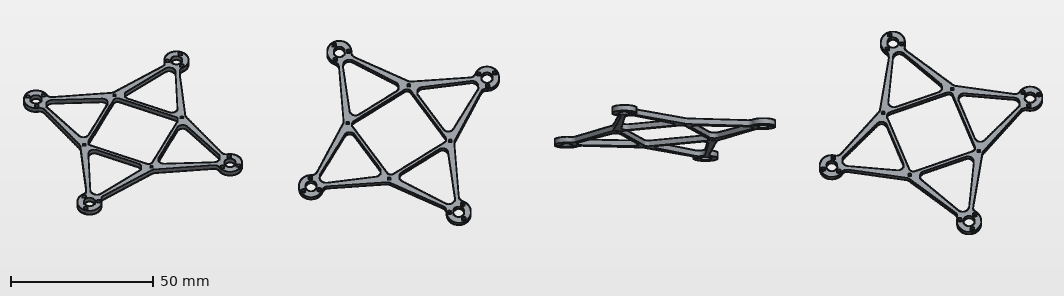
import cadquery as cq
import math

side = 61.5
thickness = 2.0

pod_radius = 4.3
pod_offset = side / 2 - pod_radius
shaft_diameter = 4.0
screw_diameter = 1.4
screw_circle_radius = 3.25
screws_per_pod = 3
pod_fillet = 2.0
joint_margin = 0.3

waist_offset = 19.8
arm_outer_angle = 15.2
waist_fillet = 2.0
opening_corner = 17.45
opening_fillet = 1.55
node_hole_offset = 18.4
node_hole_diameter = 1.0

window_base_intercept = 19.1
window_side_intercept = 16.95
window_side_slope = math.tan(math.radians(18.6))
window_base_fillet = 2.0
window_tip_fillet = 2.3

diagonal_angle = 45
quarter_turns = [0, 90, 180, 270]


def prism(points):
    """Full-thickness block with a straight-sided outline."""
    return cq.Workplane("XY").polyline(points).close().extrude(thickness)


def make_star():
    """Star outline whose points lie inside the pods."""
    tip = waist_offset / (1 - math.tan(math.radians(arm_outer_angle)))
    star = prism([
        (waist_offset, 0), (tip, tip), (0, waist_offset), (-tip, tip),
        (-waist_offset, 0), (-tip, -tip), (0, -waist_offset), (tip, -tip),
    ])
    for angle in quarter_turns:
        x = waist_offset * math.cos(math.radians(angle))
        y = waist_offset * math.sin(math.radians(angle))
        waist_edge = cq.selectors.NearestToPointSelector((x, y, thickness / 2))
        star = star.edges("|Z").edges(waist_edge).fillet(waist_fillet)
    return star


def make_opening():
    corner = opening_corner
    square = prism([(corner, 0), (0, corner), (-corner, 0), (0, -corner)])
    return square.edges("|Z").fillet(opening_fillet)


def make_window():
    """Triangle symmetric about the +X+Y diagonal, with rounded corners."""
    tip = window_side_intercept / (1 - window_side_slope)
    near = (window_base_intercept - window_side_intercept) / (1 + window_side_slope)
    far = window_base_intercept - near
    window = prism([(tip, tip), (near, far), (far, near)])
    tip_edge = cq.selectors.NearestToPointSelector((tip, tip, thickness / 2))
    base_edges = cq.selectors.SubtractSelector(cq.selectors.StringSyntaxSelector("|Z"), tip_edge)
    window = window.edges(base_edges).fillet(window_base_fillet)
    return window.edges("|Z").edges(tip_edge).fillet(window_tip_fillet)


def make_pod_holes():
    """Shaft hole and screw holes, one screw on the outer diagonal."""
    pod_plane = cq.Workplane("XY").center(pod_offset, pod_offset)
    shaft = pod_plane.circle(shaft_diameter / 2).extrude(thickness)
    screws = (
        pod_plane.polarArray(screw_circle_radius, diagonal_angle, 360, screws_per_pod)
        .circle(screw_diameter / 2)
        .extrude(thickness)
    )
    return shaft.union(screws)


def fillet_pod_joints(body):
    """Blend the arm sides into the pods, on the quarter of each pod facing the centre."""
    near = pod_offset - pod_radius
    far = pod_offset - joint_margin
    for sx in (-1, 1):
        for sy in (-1, 1):
            inner_quarter = cq.selectors.BoxSelector(
                (sx * near, sy * near, 0), (sx * far, sy * far, thickness)
            )
            body = body.edges("|Z").edges(inner_quarter).fillet(pod_fillet)
    return body


pods = (
    cq.Workplane("XY")
    .rect(2 * pod_offset, 2 * pod_offset, forConstruction=True)
    .vertices()
    .circle(pod_radius)
    .extrude(thickness)
)
frame = fillet_pod_joints(make_star().union(pods))

node_holes = (
    cq.Workplane("XY")
    .polarArray(node_hole_offset, 0, 360, len(quarter_turns))
    .circle(node_hole_diameter / 2)
    .extrude(thickness)
)
frame = frame.cut(make_opening()).cut(node_holes)

arm_cutouts = make_window().union(make_pod_holes())
for angle in quarter_turns:
    frame = frame.cut(arm_cutouts.rotate((0, 0, 0), (0, 0, 1), angle))

result = frame